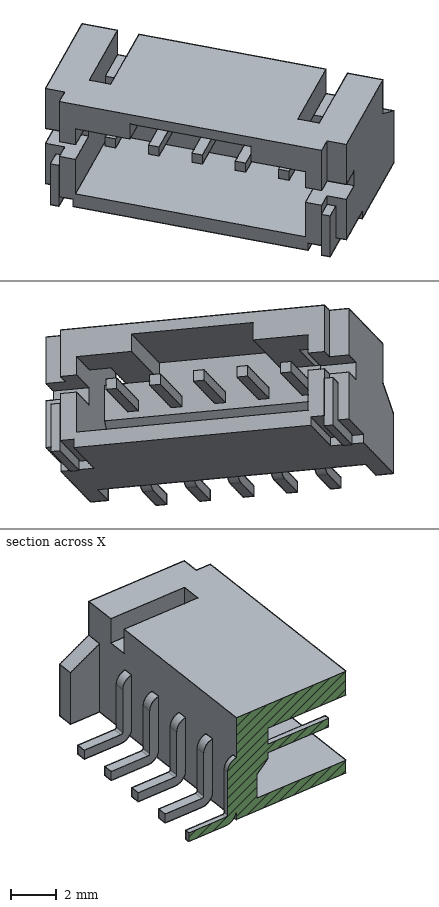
import cadquery as cq

WIDTH = 13.9
HEIGHT = 5.5
DEPTH = 5.98
HALF_WIDTH = WIDTH / 2

EAR_WIDTH = 0.8
EAR_REAR_Y = 7.56
EAR_SHOULDER_Z = 3.68
EAR_REAR_Z = 2.78

CAVITY_WIDTH = 10.62
CAVITY_FLOOR_Z = 0.71
CAVITY_TOP_Z = 4.2
CAVITY_DEPTH = 4.24
UNDERCUT = 0.58
UNDERCUT_TOP_Z = 2.56
KEY_WIDTH = 5.59
KEY_TOP_Z = 5.0

CORNER_WIDTH = 0.89
CORNER_DEPTH = 0.76
TOP_SLOT_WIDTH = 0.99
TOP_SLOT_FRONT_Y = 1.96
SIDE_SLOT_DEPTH = 1.88
SIDE_SLOT_BOTTOM_Z = 2.56
SIDE_SLOT_TOP_Z = 3.35
POCKET_WIDTH = 1.52
POCKET_DEPTH = 3.03

STANDOFF = 0.1
TAB_THICKNESS = 0.4
TAB_FRONT_Y = -0.04
TAB_REAR_Y = 2.86
TAB_TOP_Z = 2.1
PIN_COUNT = 5
PIN_PITCH = 2.0
PIN_SIZE = 0.49
PIN_TIP_Y = 0.95
PIN_TOP_Z = 3.36
TAIL_END_Y = 8.56
BEND_RADIUS = 0.1

TAIL_TOP_Z = PIN_SIZE - STANDOFF
BEND_SHIFT = BEND_RADIUS + PIN_SIZE / 2


def box(x0, x1, y0, y1, z0, z1):
    """Box between two opposite corners."""
    return cq.Workplane("XY").box(x1 - x0, y1 - y0, z1 - z0, centered=False).translate((x0, y0, z0))


def both_sides(shape):
    """The shape together with its mirror image in the x = 0 plane."""
    return shape.union(shape.mirror("YZ"))


def side_profile(points, x0, x1):
    """Extrude an outline of (y, z) points from x0 to x1."""
    return cq.Workplane("YZ", origin=(x0, 0, 0)).polyline(points).close().extrude(x1 - x0)


def ear():
    outline = [
        (DEPTH, 0),
        (EAR_REAR_Y, 0),
        (EAR_REAR_Y, EAR_REAR_Z),
        (DEPTH, EAR_SHOULDER_Z),
    ]
    return side_profile(outline, HALF_WIDTH - EAR_WIDTH, HALF_WIDTH)


def cavity():
    outline = [
        (0, CAVITY_FLOOR_Z),
        (CAVITY_DEPTH + UNDERCUT, CAVITY_FLOOR_Z),
        (CAVITY_DEPTH + UNDERCUT, UNDERCUT_TOP_Z - UNDERCUT),
        (CAVITY_DEPTH, UNDERCUT_TOP_Z),
        (CAVITY_DEPTH, CAVITY_TOP_Z),
        (0, CAVITY_TOP_Z),
    ]
    mouth = side_profile(outline, -CAVITY_WIDTH / 2, CAVITY_WIDTH / 2)
    keyway = box(-KEY_WIDTH / 2, KEY_WIDTH / 2, 0, CAVITY_DEPTH, CAVITY_TOP_Z, KEY_TOP_Z)
    return mouth.union(keyway)


def side_cuts():
    """Cuts on the +X side: front corner, side slot, tab pocket and top slot."""
    corner = box(HALF_WIDTH - CORNER_WIDTH, HALF_WIDTH, 0, CORNER_DEPTH, 0, HEIGHT)
    side_slot = box(
        CAVITY_WIDTH / 2, HALF_WIDTH, 0, SIDE_SLOT_DEPTH, SIDE_SLOT_BOTTOM_Z, SIDE_SLOT_TOP_Z
    )
    pocket = box(HALF_WIDTH - POCKET_WIDTH, HALF_WIDTH, 0, POCKET_DEPTH, 0, TAIL_TOP_Z)
    top_slot = box(
        CAVITY_WIDTH / 2 - TOP_SLOT_WIDTH, CAVITY_WIDTH / 2, TOP_SLOT_FRONT_Y, DEPTH, CAVITY_TOP_Z, HEIGHT
    )
    return corner.union(side_slot).union(pocket).union(top_slot)


def solder_tab():
    """L-shaped tab against the wall of the front corner cut and the pocket ceiling."""
    outline = [
        (TAB_FRONT_Y, -STANDOFF),
        (TAB_REAR_Y, -STANDOFF),
        (TAB_REAR_Y, TAIL_TOP_Z),
        (CORNER_DEPTH, TAIL_TOP_Z),
        (CORNER_DEPTH, TAB_TOP_Z),
        (TAB_FRONT_Y, TAB_TOP_Z),
    ]
    tab_x = HALF_WIDTH - CORNER_WIDTH
    return side_profile(outline, tab_x, tab_x + TAB_THICKNESS)


def pin(x):
    """Square pin that leaves the back wall, bends down against it and bends out to a flat tail."""
    centre_z = PIN_TOP_Z - PIN_SIZE / 2
    tail_z = TAIL_TOP_Z - PIN_SIZE / 2
    drop_y = DEPTH + PIN_SIZE / 2
    path = (
        cq.Workplane("YZ", origin=(x, 0, 0))
        .moveTo(PIN_TIP_Y, centre_z)
        .lineTo(drop_y - BEND_SHIFT, centre_z)
        .tangentArcPoint((drop_y, centre_z - BEND_SHIFT), relative=False)
        .lineTo(drop_y, tail_z + BEND_SHIFT)
        .tangentArcPoint((drop_y + BEND_SHIFT, tail_z), relative=False)
        .lineTo(TAIL_END_Y, tail_z)
    )
    section = cq.Workplane("XZ", origin=(x, PIN_TIP_Y, centre_z)).rect(PIN_SIZE, PIN_SIZE)
    return section.sweep(path)


housing = box(-HALF_WIDTH, HALF_WIDTH, 0, DEPTH, 0, HEIGHT).union(both_sides(ear()))
housing = housing.cut(cavity()).cut(both_sides(side_cuts()))

result = housing.union(both_sides(solder_tab()))
for index in range(PIN_COUNT):
    result = result.union(pin((index - (PIN_COUNT - 1) / 2) * PIN_PITCH))